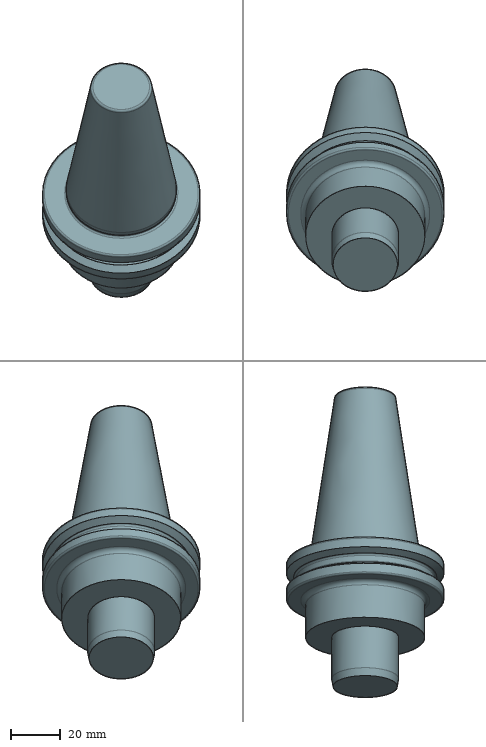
import cadquery as cq
import math

taper_length = 68.25
flange_top = -3.18
flange_width = 15.87
flange_bottom = flange_top - flange_width
neck_top = -1.95
body_bottom = -35.0
pilot_length = 21.0
pilot_bottom = body_bottom - pilot_length

gauge_diameter = 44.45
flange_diameter = 63.5
groove_diameter = 56.0
body_diameter = 48.0
neck_diameter = 44.2
pilot_diameter = 27.0

taper_ratio = 7.0 / 24.0
taper_tip_diameter = gauge_diameter - taper_length * taper_ratio

groove_mouth_width = 7.1
groove_slot_width = 3.8
groove_wall_angle = 60.0
groove_corner_radius = 0.75
groove_center = flange_top - flange_width / 2

taper_tip_radius = 1.0
flange_edge_radius = 0.75
neck_fillet_radius = 0.7
body_fillet_radius = 2.0
pilot_lead_length = 3.2
pilot_lead_angle = 10.0


def cylinder(diameter, bottom, top):
    return cq.Workplane("XY").workplane(offset=bottom).circle(diameter / 2).extrude(top - bottom)


def revolve_profile(points):
    """Turn a closed (radius, height) outline around the Z axis."""
    return cq.Workplane("XZ").polyline(points).close().revolve(360, (0, 0, 0), (0, 1, 0))


def make_taper():
    """Steep taper shank with a rounded tip edge."""
    taper = revolve_profile([
        (0, 0),
        (gauge_diameter / 2, 0),
        (taper_tip_diameter / 2, taper_length),
        (0, taper_length),
    ])
    return taper.faces(">Z").edges().fillet(taper_tip_radius)


def make_groove_cutter():
    """Ring section: straight-sided slot with rounded floor corners, opening into a V mouth."""
    floor_radius = groove_diameter / 2
    outer_radius = flange_diameter / 2
    half_slot = groove_slot_width / 2
    half_mouth = groove_mouth_width / 2
    mouth_depth = (half_mouth - half_slot) * math.tan(math.radians(groove_wall_angle))
    slot_radius = outer_radius - mouth_depth
    cutter = revolve_profile([
        (floor_radius, groove_center - half_slot),
        (slot_radius, groove_center - half_slot),
        (outer_radius, groove_center - half_mouth),
        (outer_radius, groove_center + half_mouth),
        (slot_radius, groove_center + half_slot),
        (floor_radius, groove_center + half_slot),
    ])
    floor_edges = cutter.edges(cq.selectors.RadiusNthSelector(0))
    return floor_edges.fillet(groove_corner_radius)


def make_flange():
    """Flange with rounded rims and the gripper groove."""
    flange = cylinder(flange_diameter, flange_bottom, flange_top)
    flange = flange.faces("<Z or >Z").edges().fillet(flange_edge_radius)
    return flange.cut(make_groove_cutter())


def make_pilot():
    """Locating spigot with a shallow conical lead at its free end."""
    lead_depth = pilot_lead_length * math.tan(math.radians(pilot_lead_angle))
    pilot = cylinder(pilot_diameter, pilot_bottom, body_bottom)
    return pilot.faces("<Z").edges().chamfer(pilot_lead_length, lead_depth)


def make_corner_fillet(diameter, face_height, radius, direction):
    """Concave ring between a cylinder and a flat flange face; direction is +1 above it, -1 below."""
    inner = diameter / 2
    outer = inner + radius
    far_height = face_height + direction * radius
    mid_offset = radius * (1 - math.sqrt(0.5))
    arc_middle = (inner + mid_offset, face_height + direction * mid_offset)
    profile = (
        cq.Workplane("XZ")
        .moveTo(0, face_height)
        .lineTo(outer, face_height)
        .threePointArc(arc_middle, (inner, far_height))
        .lineTo(0, far_height)
        .close()
    )
    return profile.revolve(360, (0, 0, 0), (0, 1, 0))


result = (
    make_flange()
    .union(make_taper())
    .union(cylinder(gauge_diameter, neck_top, 0))
    .union(cylinder(neck_diameter, flange_top, neck_top))
    .union(cylinder(body_diameter, body_bottom, flange_bottom))
    .union(make_pilot())
    .union(make_corner_fillet(neck_diameter, flange_top, neck_fillet_radius, 1))
    .union(make_corner_fillet(body_diameter, flange_bottom, body_fillet_radius, -1))
)